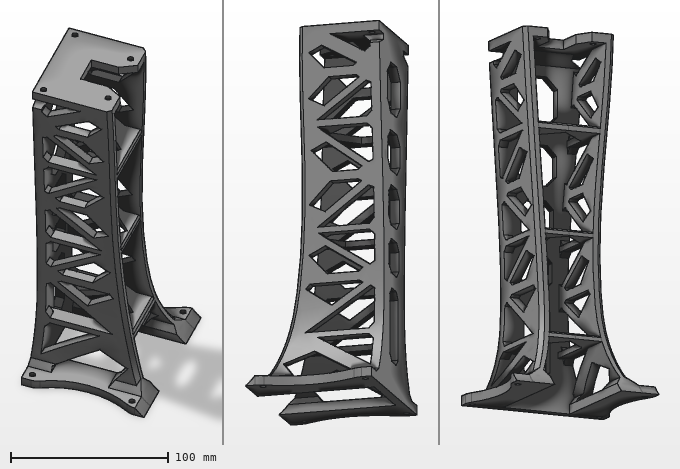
import cadquery as cq
height = 239.0
base_length = 84.0
base_width = 100.0
plate = 6.2
top_z = height - plate

top_length = 53.5
top_half_width = 32.0
top_center_y = 1.2
corner_chamfer = 2.6
notch_start_x = 24.1
notch_half_width = 9.45
notch_flare_x = 42.8
notch_mouth_half_width = 15.5
hole_diameter = 3.8
top_holes = [(6.0, 27.37), (47.0, 19.5)]

waist_z = 100.4
waist_half_width = 22.7
flare = [(22.2, 67.0), (23.3, 45.5), (28.08, 22.7), (33.58, 9.5)]
flare_end_z = flare[-1][1]
skirt_half_width = 38.5
back_curve = [
    (54.3, 143.5), (58.3, 71.7), (64.8, 35.8), (68.5, 24.0), (base_length - plate, plate), (base_length, 0)
]

base_slot_half_width = 23.5
inner_bevel_top_z = 11.0
waisting_start_x, waisting_end_x = 9.5, 74.3
waisting_depth = 8.8
waisting_end_radius = 12.0
base_hole_half_spacing_y = 44.7
base_hole_xs = [5.5, 73.5]

recess_inner = 21.7
recess_outer = 38.2
recess_inner_z = 229.2
recess_outer_z = 222.0
gusset_leg = 7.5

diaphragms = [
    (177.8, 4.5, 20.5, 48.3),
    (108.5, 3.8, 15.8, 52.8),
    (39.2, 3.8, 14.8, 57.0),
]
web_chamfer = 1.2

windows = [
    (184.7, 218.2, 14.0, 8.0, 0.84),
    (147.0, 173.5, 13.5, 6.5, 0.7),
    (111.0, 137.5, 11.5, 5.5, 0.5),
    (79.3, 102.0, 10.8, 5.0, 0.35),
    (21.0, 69.5, 9.0, 4.5, 0.35),
]

post = 6.2
truss_openings = [
    [(post, top_z), (post, 223.0), (9.92, 219.9), (32.7, top_z)],
    [(15.5, 213.0), (38.5, 225.9), (47.0, 221.5), (37.3, 211.0), (17.7, 211.0)],
    [(14.0, 203.5), (15.8, 205.0), (34.2, 205.0), (47.8, 192.0), (37.8, 186.7)],
    [(post, 199.5), (9.3, 201.0), (42.5, 177.8), (9.5, 177.8), (post, 181.2)],
    [(9.5, 173.3), (42.5, 173.3), (8.8, 148.5), (post, 149.9), (post, 169.5)],
    [(13.6, 146.0), (37.0, 163.2), (47.0, 158.5), (33.5, 143.9), (16.5, 143.9)],
    [(14.0, 136.5), (16.5, 138.0), (35.0, 138.0), (49.2, 123.5), (39.0, 118.3)],
    [(post, 132.0), (9.5, 133.4), (44.0, 108.5), (9.5, 108.5), (post, 112.5)],
    [(9.5, 104.7), (43.5, 104.7), (9.3, 82.0), (post, 84.0), (post, 101.3)],
    [(14.0, 80.0), (39.0, 96.0), (50.0, 90.5), (38.0, 77.7), (17.2, 77.7)],
    [(14.0, 70.3), (16.5, 71.7), (49.2, 71.7), (52.0, 68.5), (34.7, 56.6)],
    [(post, 66.0), (9.0, 67.9), (52.0, 39.2), (9.5, 39.2), (post, 43.0)],
    [(9.5, 35.4), (43.5, 35.4), (post, 13.1), (post, 31.5)],
    [(15.3, 8.4), (44.7, 25.8), (64.8, 18.2), (55.0, plate), (16.0, plate)],
]


def extrude_x(outline, start, end):
    """Prism along X from a closed outline drawn in y and z."""
    return outline.extrude(end - start).translate((start, 0, 0))


def prism_x(points, start, end):
    return extrude_x(cq.Workplane("YZ").polyline(points).close(), start, end)


def prism_y(points):
    """Prism across the full width from corners in x and z."""
    return cq.Workplane("XZ").polyline(points).close().extrude(base_width / 2, both=True)


def prism_z(points, bottom, top):
    return cq.Workplane("XY").workplane(offset=bottom).polyline(points).close().extrude(top - bottom)


def flare_half_width_at(z):
    """Half width near the foot, along the last stretch of the flare."""
    (upper_half, upper_z), (lower_half, lower_z) = flare[-2:]
    return lower_half - (z - lower_z) * (lower_half - upper_half) / (upper_z - lower_z)


def column_section(inset, foot_half_width, foot_bevel_z):
    """Column outline in y and z, with its sides moved inwards by the inset."""
    def top_point(sign):
        return (top_center_y + sign * (top_half_width - inset), height)

    def side_points(sign):
        half_widths = [(waist_half_width, waist_z)] + flare[:-1]
        half_widths.append((flare_half_width_at(foot_bevel_z), foot_bevel_z))
        waist_and_flare = [(sign * (half - inset), z) for half, z in half_widths]
        (top_y, top), (waist_y, waist) = top_point(sign), waist_and_flare[0]
        return [((top_y + waist_y) / 2, (top + waist) / 2)] + waist_and_flare

    left, right = side_points(1), side_points(-1)
    return (
        cq.Workplane("YZ")
        .moveTo(*top_point(1))
        .spline(left, includeCurrent=True)
        .lineTo(foot_half_width, plate)
        .lineTo(foot_half_width, 0)
        .lineTo(-foot_half_width, 0)
        .lineTo(-foot_half_width, plate)
        .lineTo(*right[-1])
        .spline(right[-2::-1] + [top_point(-1)], includeCurrent=True)
        .close()
    )


def back_profile():
    """Everything in front of the curved back, across the full width."""
    return (
        cq.Workplane("XZ")
        .moveTo(0, 0)
        .lineTo(*back_curve[-1])
        .spline(back_curve[-2::-1] + [(top_length, height)], includeCurrent=True)
        .lineTo(0, height)
        .close()
        .extrude(base_width / 2, both=True)
    )


def column_solid(inset):
    """Solid filling the column as far as the curved back."""
    section = column_section(inset, skirt_half_width, flare_end_z)
    return extrude_x(section, 0, base_length).intersect(back_profile())


def octagon(bottom, top, half_width, cut, center_y):
    """Upright rectangle with its four corners cut at 45 degrees, in y and z."""
    low, high = center_y - half_width, center_y + half_width
    return [
        (low + cut, bottom), (high - cut, bottom), (high, bottom + cut), (high, top - cut),
        (high - cut, top), (low + cut, top), (low, top - cut), (low, bottom + cut),
    ]


def make_column():
    """Hollow column, closed on top, open at the back, with bevelled back edges."""
    shell = column_solid(0)
    for sign in (1, -1):
        near = (top_length - 2.5, sign * waist_half_width / 2, flare_end_z + 2.5)
        far = (base_length, sign * base_width, height - 2.5)
        back_edges = cq.selectors.BoxSelector(near, far)
        shell = shell.edges(back_edges).chamfer(corner_chamfer)
    inside = extrude_x(
        column_section(plate, base_slot_half_width, inner_bevel_top_z), plate, base_length + 2.5
    )
    below_top = cq.Workplane("XY").box(
        2 * base_length, base_width, top_z, centered=(True, True, False)
    )
    return shell.cut(inside.intersect(below_top))


def make_diaphragm(top, thickness, half_width, point_x):
    """Horizontal web filling the column, with an opening pointed towards the back."""
    level = (
        cq.Workplane("XY")
        .box(base_length, base_width, thickness, centered=(False, True, False))
        .translate((plate, 0, top - thickness))
    )
    web = column_solid(plate / 2).intersect(level)
    web = web.faces(">Z").edges(">X").chamfer(web_chamfer)
    center_y = top_center_y * top / height
    shoulder_x = point_x - half_width
    opening = prism_z(
        [
            (plate, center_y - half_width),
            (shoulder_x, center_y - half_width),
            (point_x, center_y),
            (shoulder_x, center_y + half_width),
            (plate, center_y + half_width),
        ],
        top - thickness,
        top,
    )
    return web.cut(opening)


def make_top_gusset():
    """Bevel between the front wall and the top plate, across the full width."""
    gusset = prism_y([(plate, top_z), (plate, top_z - gusset_leg), (plate + gusset_leg, top_z)])
    return gusset.intersect(column_solid(0))


def make_top_cuts():
    """Notch open to the back, screw holes and the two corner recesses."""
    y = top_center_y
    cuts = prism_z(
        [
            (notch_start_x, y - notch_half_width),
            (notch_flare_x, y - notch_half_width),
            (top_length, y - notch_mouth_half_width),
            (top_length + plate, y - notch_mouth_half_width),
            (top_length + plate, y + notch_mouth_half_width),
            (top_length, y + notch_mouth_half_width),
            (notch_flare_x, y + notch_half_width),
            (notch_start_x, y + notch_half_width),
        ],
        top_z,
        height,
    )
    for sign in (1, -1):
        for x, offset in top_holes:
            hole = cq.Workplane("XY").circle(hole_diameter / 2).extrude(plate)
            cuts = cuts.union(hole.translate((x, y + sign * offset, top_z)))
        recess = [
            (y + sign * recess_inner, top_z),
            (y + sign * recess_inner, recess_inner_z),
            (y + sign * recess_outer, recess_outer_z),
            (y + sign * recess_outer, top_z),
        ]
        cuts = cuts.union(prism_x(recess, 0, plate + gusset_leg))
    return cuts


def make_base():
    """Foot plate with waisted sides, a bevelled back end and a slot open to the back."""
    half = base_width / 2
    middle_x = (waisting_start_x + waisting_end_x) / 2
    foot = (
        cq.Workplane("XY")
        .moveTo(0, -half)
        .lineTo(waisting_start_x, -half)
        .threePointArc((middle_x, waisting_depth - half), (waisting_end_x, -half))
        .lineTo(base_length, -half)
        .lineTo(base_length, half)
        .lineTo(waisting_end_x, half)
        .threePointArc((middle_x, half - waisting_depth), (waisting_start_x, half))
        .lineTo(0, half)
        .close()
        .extrude(plate)
        .edges(cq.selectors.BoxSelector((2.5, -base_width, 0), (base_length - 2.5, base_width, plate)))
        .edges("|Z")
        .fillet(waisting_end_radius)
        .intersect(back_profile())
    )
    slot = cq.Workplane("XY").box(
        base_length, 2 * base_slot_half_width, plate, centered=(False, True, False)
    )
    holes = (
        cq.Workplane("XY")
        .pushPoints([(x, sign * base_hole_half_spacing_y) for x in base_hole_xs for sign in (1, -1)])
        .circle(hole_diameter / 2)
        .extrude(plate)
    )
    return foot.cut(slot.translate((plate, 0, 0))).cut(holes)


column = make_column()
for corners in truss_openings:
    column = column.cut(prism_y(corners))
for window in windows:
    column = column.cut(prism_x(octagon(*window), 0, plate))

result = column.union(make_base()).union(make_top_gusset())
for diaphragm in diaphragms:
    result = result.union(make_diaphragm(*diaphragm))
result = result.cut(make_top_cuts())